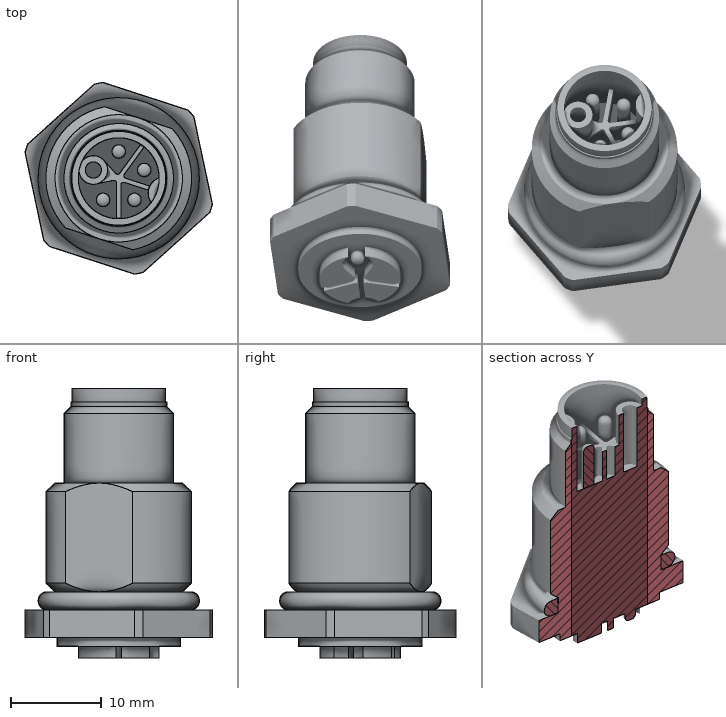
import cadquery as cq
import math

CLOCKING = 162.0
POLE_COUNT = 5
POLE_STEP = 360.0 / POLE_COUNT

BASE_TOP = 1.3
HEX_BOTTOM = 2.25
HEX_TOP = 5.32
RING_HEIGHT = 2.0
BODY_BOTTOM = HEX_TOP + RING_HEIGHT
BODY_TOP = 19.28
LIP_BOTTOM = 27.68
HOUSING_TOP = 28.2
INSERT_TOP = 29.7
CODING_TOP = 28.8
RIB_TOP = 24.75
PIN_TIP = 26.3
SOCKET_FLOOR = 20.8

FOOT_RADIUS = 6.8
HEX_ACROSS_FLATS = 19.0
HEX_CORNER_DIAMETER = 21.4
BODY_RADIUS = 8.02
BODY_ACROSS_FLATS = 14.02
BODY_CHAMFER_HEIGHT = 0.95
BODY_END_RADIUS = BODY_ACROSS_FLATS / 2
THREAD_RADIUS = 6.03
LIP_RADIUS = 5.3
THREAD_CHAMFER = THREAD_RADIUS - LIP_RADIUS

RING_OUTER_RADIUS = 8.88
RING_FLAT_RADIUS = RING_OUTER_RADIUS - RING_HEIGHT / 2

INSERT_RADIUS = 5.17
SOCKET_RADIUS = 4.45
POLE_CIRCLE_RADIUS = 2.95
TOWER_RADIUS = 1.57
TOWER_HOLE_RADIUS = 0.9
WEB_HALF_ANGLE = 30.0
KEY_RADIUS = 1.8
KEY_CENTRE_RADIUS = 5.32
RIB_WIDTH = 0.48
HUB_FILLET = 0.3

TOWER_RECESS_RADIUS = 1.7
KEYWAY_RADIUS = 2.05
RIB_SLOT_WIDTH = 0.6

PIN_RADIUS = 0.75
PIN_ROUNDING = 0.6
LOWER_PIN_TIP = 0.18


def cylinder(radius, bottom, top):
    return cq.Workplane("XY").workplane(offset=bottom).circle(radius).extrude(top - bottom)


def polar(radius, angle):
    return radius * math.cos(math.radians(angle)), radius * math.sin(math.radians(angle))


def clocked(body):
    return body.rotate((0, 0, 0), (0, 0, 1), CLOCKING)


def make_hex_foot():
    hex_circumscribed = HEX_ACROSS_FLATS / math.cos(math.radians(30))
    hexagon = (
        cq.Workplane("XY")
        .workplane(offset=HEX_BOTTOM)
        .polygon(6, hex_circumscribed)
        .extrude(HEX_TOP - HEX_BOTTOM)
    )
    corner_limit = cylinder(HEX_CORNER_DIAMETER / 2, HEX_BOTTOM, HEX_TOP)
    return corner_limit.intersect(hexagon)


def make_flatted_body():
    profile = [
        (0, BODY_BOTTOM),
        (BODY_END_RADIUS, BODY_BOTTOM),
        (BODY_RADIUS, BODY_BOTTOM + BODY_CHAMFER_HEIGHT),
        (BODY_RADIUS, BODY_TOP - BODY_CHAMFER_HEIGHT),
        (BODY_END_RADIUS, BODY_TOP),
        (0, BODY_TOP),
    ]
    turned = cq.Workplane("XZ").polyline(profile).close().revolve(360, (0, 0), (0, 1))
    flats = (
        cq.Workplane("XY")
        .workplane(offset=BODY_BOTTOM)
        .rect(2 * BODY_RADIUS, BODY_ACROSS_FLATS)
        .extrude(BODY_TOP - BODY_BOTTOM)
    )
    return turned.intersect(flats)


def make_housing():
    thread = cylinder(THREAD_RADIUS, BODY_TOP, LIP_BOTTOM).faces(">Z").chamfer(THREAD_CHAMFER)
    return (
        cylinder(FOOT_RADIUS, BASE_TOP, HEX_BOTTOM)
        .union(make_hex_foot())
        .union(cylinder(BODY_END_RADIUS, HEX_TOP, BODY_BOTTOM))
        .union(make_flatted_body())
        .union(thread)
        .union(cylinder(LIP_RADIUS, LIP_BOTTOM, HOUSING_TOP))
        .cut(cylinder(INSERT_RADIUS, BASE_TOP, HOUSING_TOP))
    )


def make_sealing_ring():
    """Flat ring around the neck, its outer edge rounded over the whole height."""
    ring_section = (
        cq.Workplane("XZ")
        .moveTo(BODY_END_RADIUS, HEX_TOP)
        .lineTo(RING_FLAT_RADIUS, HEX_TOP)
        .threePointArc((RING_OUTER_RADIUS, HEX_TOP + RING_HEIGHT / 2), (RING_FLAT_RADIUS, BODY_BOTTOM))
        .lineTo(BODY_END_RADIUS, BODY_BOTTOM)
        .close()
    )
    return ring_section.revolve(360, (0, 0), (0, 1))


def make_tower(bottom, top, radius):
    return cylinder(radius, bottom, top).translate((POLE_CIRCLE_RADIUS, 0, 0))


def make_key(bottom, top, radius):
    return cylinder(radius, bottom, top).translate((-KEY_CENTRE_RADIUS, 0, 0))


def make_divider(bottom, top, tower_radius, rib_width):
    """Web that tapers from the tower to the axis, joined to three radial ribs between the poles."""
    height = top - bottom
    plane = cq.Workplane("XY").workplane(offset=bottom)

    tangent_x, tangent_y = polar(tower_radius, 90 - WEB_HALF_ANGLE)
    web_start = POLE_CIRCLE_RADIUS - tangent_x
    web_tip = POLE_CIRCLE_RADIUS - tower_radius / math.sin(math.radians(WEB_HALF_ANGLE))
    web = [(POLE_CIRCLE_RADIUS, 0), (web_start, tangent_y), (web_tip, 0), (web_start, -tangent_y)]
    divider = plane.polyline(web).close().extrude(height)

    rib = plane.center(SOCKET_RADIUS / 2, 0).rect(SOCKET_RADIUS, rib_width).extrude(height)
    hub = cylinder(rib_width / 2, bottom, top)
    divider = divider.union(hub)
    for gap in (1, 2, 3):
        divider = divider.union(rib.rotate((0, 0, 0), (0, 0, 1), (gap + 0.5) * POLE_STEP))

    hub_reach = 2 * rib_width
    hub_corners = cq.selectors.BoxSelector((-hub_reach, -hub_reach, bottom), (hub_reach, hub_reach, top))
    return divider.edges("|Z").edges(hub_corners).fillet(HUB_FILLET)


def make_coding(bottom, divider_top, top, tower_radius, key_radius, rib_width):
    """Tower, key and divider together, trimmed to the round socket."""
    return (
        make_tower(bottom, top, tower_radius)
        .union(make_key(bottom, top, key_radius))
        .union(make_divider(bottom, divider_top, tower_radius, rib_width))
        .intersect(cylinder(SOCKET_RADIUS, bottom, top))
    )


def make_pin(length):
    """Pin that stands on the XY plane with a rounded upper end."""
    return cylinder(PIN_RADIUS, 0, length).faces(">Z").edges().fillet(PIN_ROUNDING)


def make_insert():
    coding = make_coding(SOCKET_FLOOR, RIB_TOP, CODING_TOP, TOWER_RADIUS, KEY_RADIUS, RIB_WIDTH)
    coding_recess = make_coding(
        0, BASE_TOP, BASE_TOP, TOWER_RECESS_RADIUS, KEYWAY_RADIUS, RIB_SLOT_WIDTH
    )
    tower_hole = cylinder(TOWER_HOLE_RADIUS, SOCKET_FLOOR, CODING_TOP)
    lower_pin = make_pin(BASE_TOP - LOWER_PIN_TIP).rotate((0, 0, 0), (1, 0, 0), 180)
    return (
        cylinder(SOCKET_RADIUS, 0, BASE_TOP)
        .cut(coding_recess)
        .union(cylinder(INSERT_RADIUS, BASE_TOP, INSERT_TOP))
        .cut(cylinder(SOCKET_RADIUS, SOCKET_FLOOR, INSERT_TOP))
        .union(coding)
        .cut(tower_hole.translate((POLE_CIRCLE_RADIUS, 0, 0)))
        .union(lower_pin.translate((POLE_CIRCLE_RADIUS, 0, BASE_TOP)))
    )


def make_contact_pins():
    pin = make_pin(PIN_TIP - SOCKET_FLOOR)
    pins = []
    for pole in range(1, POLE_COUNT):
        x, y = polar(POLE_CIRCLE_RADIUS, pole * POLE_STEP)
        pins.append(pin.translate((x, y, SOCKET_FLOOR)))
    return pins


housing = clocked(make_housing())
sealing_ring = clocked(make_sealing_ring())
insert = clocked(make_insert())
contact_pins = [clocked(pin) for pin in make_contact_pins()]

result = cq.Compound.makeCompound(
    [housing.val(), sealing_ring.val(), insert.val(), *[pin.val() for pin in contact_pins]]
)